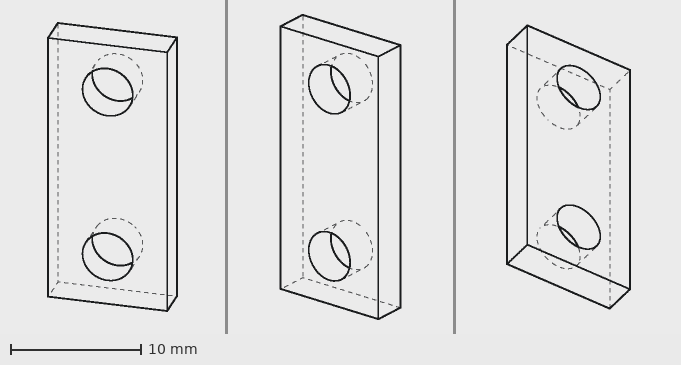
import cadquery as cq

width = 9.5
thickness = 2.8
height = 22.0

hole_diameter = 4.0
hole_spacing = 14.0

plate = cq.Workplane("XY").box(width, thickness, height)

result = (
    plate.faces("<Y")
    .workplane(centerOption="CenterOfBoundBox")
    .pushPoints([(0, -hole_spacing / 2), (0, hole_spacing / 2)])
    .hole(hole_diameter)
)